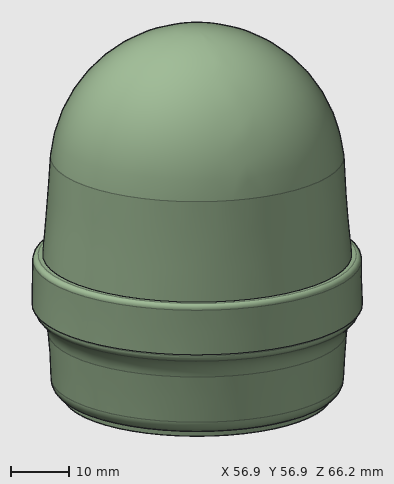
import cadquery as cq
import math

height = 66.2
collar_radius = 28.45

spigot_radius = 23.1
spigot_height = 0.9

base_bottom_radius = 25.2
base_edge_rounding = 2.3
base_bottom_z = spigot_height + base_edge_rounding
base_top_radius = 25.75
base_top_z = 11.6

flare_radius = 27.55
flare_top_z = 15.0
lip_radius = 27.95
lip_wall_z = 16.1

collar_bottom_z = 16.5
collar_top_z = 25.4
collar_edge_rounding = 0.9
collar_draft = 0.1
collar_top_radius = collar_radius - collar_draft

lens_bottom_radius = 26.6
lens_seam_radius = 25.3
lens_seam_z = 43.15


def cap_midpoint():
    """Point halfway along the spherical cap, between the seam and the apex."""
    cap_height = height - lens_seam_z
    sphere_radius = (lens_seam_radius**2 + cap_height**2) / (2 * cap_height)
    center_z = height - sphere_radius
    seam_angle = math.atan2(lens_seam_z - center_z, lens_seam_radius)
    middle_angle = (seam_angle + math.pi / 2) / 2
    return (
        sphere_radius * math.cos(middle_angle),
        center_z + sphere_radius * math.sin(middle_angle),
    )


profile = (
    cq.Workplane("XZ")
    .lineTo(spigot_radius, 0)
    .lineTo(spigot_radius, spigot_height)
    .radiusArc((base_bottom_radius, base_bottom_z), -base_edge_rounding)
    .lineTo(base_top_radius, base_top_z)
    .tangentArcPoint((flare_radius, flare_top_z), relative=False)
    .tangentArcPoint((lip_radius, lip_wall_z), relative=False)
    .lineTo(lip_radius, collar_bottom_z)
    .lineTo(collar_radius, collar_bottom_z)
    .lineTo(collar_top_radius, collar_top_z - collar_edge_rounding)
    .radiusArc((collar_top_radius - collar_edge_rounding, collar_top_z), -collar_edge_rounding)
    .lineTo(lens_bottom_radius, collar_top_z)
    .lineTo(lens_seam_radius, lens_seam_z)
    .threePointArc(cap_midpoint(), (0, height))
    .close()
)

result = profile.revolve(360, (0, 0, 0), (0, 1, 0))